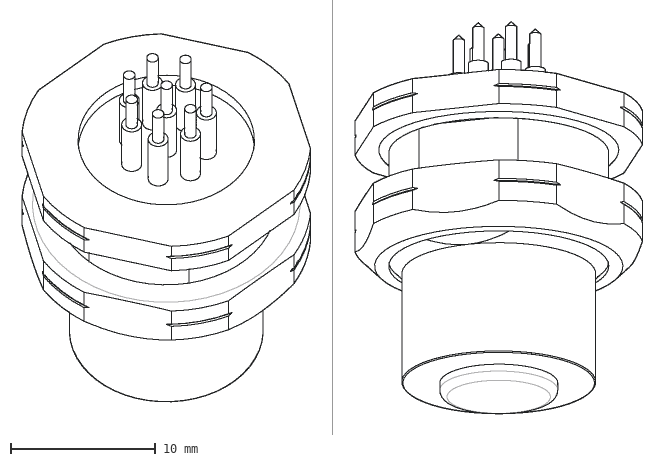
import cadquery as cq
import math


ACROSS_FLATS = 19.0
CORNER_DIAMETER = 20.0
CORNER_RADIUS = CORNER_DIAMETER / 2
GROOVE_DEPTH = 0.1

FLANGE_TOP = 20.5
FLANGE_THICKNESS = 2.5
FLANGE_BOTTOM = FLANGE_TOP - FLANGE_THICKNESS
FLANGE_GROOVE_Z = FLANGE_TOP - 1.15
RECESS_DIAMETER = 12.2
RECESS_DEPTH = 1.0
RECESS_FLOOR = FLANGE_TOP - RECESS_DEPTH

SEAL_SECTION_RADIUS = 0.5
SEAL_RING_RADIUS = 7.85
SEAL_PROTRUSION = 0.3
SEAL_Z = FLANGE_BOTTOM - SEAL_PROTRUSION + SEAL_SECTION_RADIUS

NUT_TOP = 14.0
NUT_BOTTOM = 9.55
NUT_BOTTOM_RADIUS = 8.59
NUT_CHAMFER = CORNER_RADIUS - NUT_BOTTOM_RADIUS
NUT_FACE_RADIUS = 9.25
NUT_TOP_DROP = 0.08
NUT_GROOVE_Z = NUT_TOP - 1.55

SHANK_RADIUS = 7.6
BARREL_RADIUS = 6.7
BARREL_TOP = 8.98
BARREL_BOTTOM = 1.0
BARREL_EDGE_CHAMFER = 0.08
SHANK_CHAMFER = SHANK_RADIUS - BARREL_RADIUS

INSERT_RADIUS = 4.08
INSERT_FILLET = 0.5

PIN_TOP = 26.5
PIN_GROUP_X = 0.03
PIN_RADIUS = 0.4
PIN_POINT_HEIGHT = 0.4
SLEEVE_TOP = 23.53
SLEEVE_RADIUS = 0.7
PIN_CIRCLE_RADIUS = 2.75
OUTER_PIN_COUNT = 7
PIN_STEP_ANGLE = 49
PIN_GAP_MIDDLE = 45


def revolve_profile(points):
    """Turn a closed (radius, height) outline around the Z axis."""
    return cq.Workplane("XZ").polyline(points).close().revolve(360, (0, 0, 0), (0, 1, 0))


def hexagon_prism(bottom, top):
    """Hexagon with two flats facing -Y and +Y."""
    across_corners = ACROSS_FLATS / math.cos(math.pi / 6)
    return cq.Workplane("XY").workplane(offset=bottom).polygon(6, across_corners).extrude(top - bottom)


def corner_groove(height):
    """V-shaped ring that notches only the rounded corners and the ends of the flats."""
    return revolve_profile([
        (CORNER_RADIUS - GROOVE_DEPTH, height),
        (CORNER_RADIUS, height - GROOVE_DEPTH),
        (CORNER_RADIUS, height + GROOVE_DEPTH),
    ])


def make_flange():
    corner_round = revolve_profile([
        (0, FLANGE_BOTTOM),
        (CORNER_RADIUS, FLANGE_BOTTOM),
        (CORNER_RADIUS, FLANGE_TOP),
        (0, FLANGE_TOP),
    ])
    flange = hexagon_prism(FLANGE_BOTTOM, FLANGE_TOP).intersect(corner_round)
    return flange.cut(corner_groove(FLANGE_GROOVE_Z))


def make_recess():
    return cq.Workplane("XY").workplane(offset=RECESS_FLOOR).circle(RECESS_DIAMETER / 2).extrude(RECESS_DEPTH)


def make_seal():
    section = cq.Workplane("XZ").center(SEAL_RING_RADIUS, SEAL_Z).circle(SEAL_SECTION_RADIUS)
    return section.revolve(360, (-SEAL_RING_RADIUS, 0, 0), (-SEAL_RING_RADIUS, 1, 0))


def make_nut():
    """Chamfered nut whose round bore leaves a gap beside the shank flats."""
    corner_round = revolve_profile([
        (SHANK_RADIUS, NUT_BOTTOM),
        (NUT_BOTTOM_RADIUS, NUT_BOTTOM),
        (CORNER_RADIUS, NUT_BOTTOM + NUT_CHAMFER),
        (CORNER_RADIUS, NUT_TOP - NUT_TOP_DROP),
        (NUT_FACE_RADIUS, NUT_TOP),
        (SHANK_RADIUS, NUT_TOP),
    ])
    nut = hexagon_prism(NUT_BOTTOM, NUT_TOP).intersect(corner_round)
    return nut.cut(corner_groove(NUT_GROOVE_Z))


def make_body():
    turned = revolve_profile([
        (0, BARREL_BOTTOM),
        (BARREL_RADIUS - BARREL_EDGE_CHAMFER, BARREL_BOTTOM),
        (BARREL_RADIUS, BARREL_BOTTOM + BARREL_EDGE_CHAMFER),
        (BARREL_RADIUS, BARREL_TOP),
        (SHANK_RADIUS, BARREL_TOP + SHANK_CHAMFER),
        (SHANK_RADIUS, FLANGE_BOTTOM),
        (0, FLANGE_BOTTOM),
    ])
    between_flats = cq.Workplane("XY").box(
        2 * SHANK_RADIUS, 2 * BARREL_RADIUS, FLANGE_BOTTOM, centered=(True, True, False)
    )
    return turned.intersect(between_flats)


def make_insert():
    insert = cq.Workplane("XY").circle(INSERT_RADIUS).extrude(BARREL_BOTTOM)
    return insert.faces("<Z").edges().fillet(INSERT_FILLET)


def make_pin(x, y):
    """Pointed pin standing in a thicker sleeve on the recess floor."""
    pin = revolve_profile([
        (0, RECESS_FLOOR),
        (SLEEVE_RADIUS, RECESS_FLOOR),
        (SLEEVE_RADIUS, SLEEVE_TOP),
        (PIN_RADIUS, SLEEVE_TOP),
        (PIN_RADIUS, PIN_TOP - PIN_POINT_HEIGHT),
        (0, PIN_TOP),
    ])
    return pin.translate((PIN_GROUP_X + x, y, 0))


def pin_positions():
    half_span = PIN_STEP_ANGLE * (OUTER_PIN_COUNT - 1) / 2
    first_angle = PIN_GAP_MIDDLE + 180 - half_span
    positions = [(0, 0)]
    for index in range(OUTER_PIN_COUNT):
        angle = math.radians(first_angle + index * PIN_STEP_ANGLE)
        positions.append((PIN_CIRCLE_RADIUS * math.cos(angle), PIN_CIRCLE_RADIUS * math.sin(angle)))
    return positions


result = make_body().union(make_insert()).union(make_nut()).union(make_seal()).union(make_flange())
result = result.cut(make_recess())
for pin_x, pin_y in pin_positions():
    result = result.union(make_pin(pin_x, pin_y))